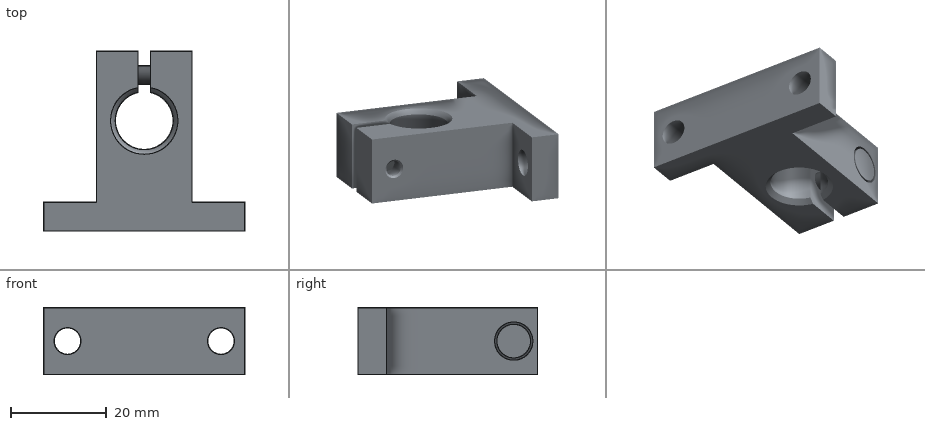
import cadquery as cq

base_length = 42.0
base_thickness = 6.0
depth = 14.0
mount_hole_diameter = 5.5
mount_hole_spacing = 32.0

total_height = 37.5
block_width = 20.0
bore_diameter = 12.0
bore_chamfer = 1.0
bore_offset = 23.0
slot_width = 2.5

screw_diameter = 4.0
screw_top_distance = 5.0
screw_engagement = 4.75
pilot_diameter = 3.25
clearance_diameter = 4.5
head_diameter = 7.0
head_height = 4.0
counterbore_diameter = 8.0

half_block = block_width / 2
mid_depth = depth / 2
screw_y = total_height - screw_top_distance
screw_tip_x = -slot_width / 2 - screw_engagement
head_seat_x = half_block - head_height
shank_length = head_seat_x - screw_tip_x
pilot_chamfer = (screw_diameter - pilot_diameter) / 2


def rod_along_x(diameter, start_x, length):
    """Cylinder on the screw axis, running toward +X from start_x."""
    return (
        cq.Workplane("YZ", origin=(start_x, screw_y, mid_depth))
        .circle(diameter / 2)
        .extrude(length)
    )


def make_body():
    """T-shaped blank: the base lies along X and the block rises along +Y."""
    base = cq.Workplane("XY").box(base_length, base_thickness, depth, centered=(True, False, False))
    block = cq.Workplane("XY").box(block_width, total_height, depth, centered=(True, False, False))
    return base.union(block)


def cut_mount_holes(body):
    """Two plain holes through the base along Y."""
    holes = (
        cq.Workplane("XZ", origin=(0, 0, mid_depth))
        .pushPoints([(-mount_hole_spacing / 2, 0), (mount_hole_spacing / 2, 0)])
        .circle(mount_hole_diameter / 2)
        .extrude(-base_thickness)
    )
    return body.cut(holes)


def cut_bore(body):
    """Through bore along Z, chamfered at both mouths."""
    mouth_radius = bore_diameter / 2 + bore_chamfer
    bore = (
        cq.Workplane("XY", origin=(0, bore_offset, 0))
        .circle(mouth_radius)
        .extrude(bore_chamfer, taper=45)
        .union(cq.Workplane("XY", origin=(0, bore_offset, 0)).circle(bore_diameter / 2).extrude(depth))
    )
    upper_mouth = (
        cq.Workplane("XY", origin=(0, bore_offset, depth))
        .circle(mouth_radius)
        .extrude(-bore_chamfer, taper=45)
    )
    return body.cut(bore).cut(upper_mouth)


def cut_slot(body):
    """Clamping slot from the bore to the far end of the block."""
    slot = (
        cq.Workplane("XY", origin=(0, bore_offset, 0))
        .box(slot_width, total_height - bore_offset, depth, centered=(True, False, False))
    )
    return body.cut(slot)


def cut_screw_hole(body):
    """Stepped hole: chamfered pilot and screw seat on -X, clearance and counterbore on +X."""
    pilot = rod_along_x(pilot_diameter, -half_block, screw_tip_x + half_block)
    mouth = (
        cq.Workplane("YZ", origin=(-half_block, screw_y, mid_depth))
        .circle(screw_diameter / 2)
        .extrude(pilot_chamfer, taper=45)
    )
    seat = rod_along_x(screw_diameter, screw_tip_x, screw_engagement)
    clearance = rod_along_x(clearance_diameter, slot_width / 2, head_seat_x - slot_width / 2)
    counterbore = rod_along_x(counterbore_diameter, head_seat_x, head_height)
    return body.cut(pilot).cut(mouth).cut(seat).cut(clearance).cut(counterbore)


def make_screw():
    """Cap screw whose head is flush with the +X face of the block."""
    shank = rod_along_x(screw_diameter, screw_tip_x, shank_length)
    head = rod_along_x(head_diameter, head_seat_x, head_height)
    return shank.union(head)


def make_shaft_support():
    """Clamping shaft support with all its holes."""
    body = make_body()
    body = cut_mount_holes(body)
    body = cut_bore(body)
    body = cut_slot(body)
    return cut_screw_hole(body)


shaft_support = make_shaft_support()
clamp_screw = make_screw()

result = cq.Compound.makeCompound([shaft_support.solids().val(), clamp_screw.solids().val()])